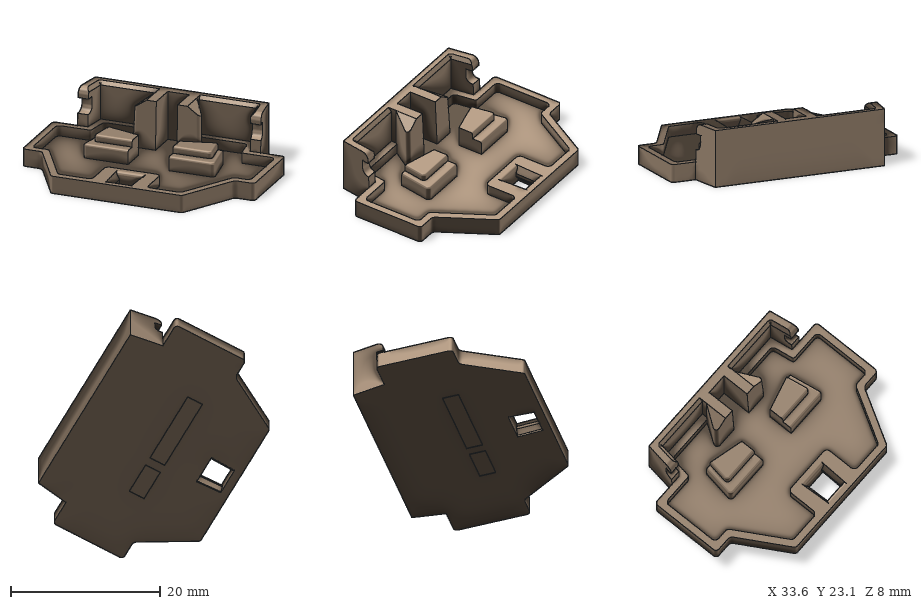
import cadquery as cq
import math

length = 33.6
depth = 23.1
height = 7.9
rim_z = 2.5
floor_z = 1.0
rim_width = 1.0

front_half = 9.48
ear_half = length / 2
ear_front_y = 7.75
ear_rear_y = 18.5
flank_angle = 60.0
shoulder_half = front_half + ear_front_y / math.tan(math.radians(flank_angle))
wall_front_half = 13.27
wall_rear_half = 12.55
ear_radius = 0.5
shoulder_radius = 0.8
pocket_radius = 0.67
pocket_throat_radius = 0.35

cavity_rear_y = 21.85
cavity_rear_half = 11.25
cavity_front_half = 11.75
cavity_chamfer = 0.5

wall_nose_y = 18.68
nose_radius = 1.0
nose_bottom_z = 6.42
notch_rear_y = 19.65
notch_radius = 1.08
notch_bottom_z = 4.2

post_front_y = 17.5
post_front_half = 5.35
post_flank_slope = 0.656
post_draft = 2.5
post_radius = 0.47
web_half = 2.95
web_front_y = 18.8
slot_half = 1.55
ramp_half = 4.87
ramp_drop = 1.3

key_inner_x = 2.95
key_inner_rear_y = 14.95
key_rear_y = 16.25
key_side_slope = 0.164
lower_key_rear_x = 8.77
lower_key_front_y = 11.3
lower_key_z = 3.0
upper_key_rear_x = 8.0
upper_key_front_y = 12.75
upper_key_z = 3.93
key_corner_radius = 0.5
key_edge_radius = 0.3

island_half = 3.95
island_rear_y = 5.98
window_rear_y = 5.17
window_front_y = 0.7
window_rear_half = 2.05
window_front_half = 1.85
throat_rear_half = 1.5
throat_front_half = 1.38
throat_top_z = 1.45
throat_bottom_z = 0.97
window_flare_z = 0.3
window_lip_radius = 0.45

pad_ends = [(-8.33, 1.98), (3.2, 7.63)]
pad_front_y = 9.68
pad_rear_y = 11.93
pad_height = 0.1


def mirrored(half_points):
    """Close an outline from its right half, listed front to rear."""
    return half_points + [(-x, y) for x, y in reversed(half_points)]


def prism(points, bottom_z, top_z, taper=0.0):
    sketch = cq.Workplane("XY").workplane(offset=bottom_z).polyline(points).close()
    return sketch.extrude(top_z - bottom_z, taper=taper)


def block(x_min, x_max, y_min, y_max, z_min, z_max):
    size = (x_max - x_min, y_max - y_min, z_max - z_min)
    return cq.Workplane("XY").box(*size, centered=False).translate((x_min, y_min, z_min))


def round_upright(body, x, y, radius):
    """Round the upright edge nearest (x, y) and its mirror image."""
    for side in (-1, 1):
        near = cq.selectors.NearestToPointSelector((side * x, y, body.val().Center().z))
        body = body.edges("|Z").edges(near).fillet(radius)
    return body


def make_base():
    outline = mirrored([
        (front_half, 0),
        (shoulder_half, ear_front_y),
        (ear_half, ear_front_y),
        (ear_half, ear_rear_y),
        (wall_front_half, ear_rear_y),
        (wall_rear_half, depth),
    ])
    base = prism(outline, 0, rim_z)
    base = round_upright(base, front_half, 0, ear_radius)
    base = round_upright(base, shoulder_half, ear_front_y, shoulder_radius)
    base = round_upright(base, ear_half, ear_front_y, ear_radius)
    return round_upright(base, ear_half, ear_rear_y, ear_radius)


def make_pocket():
    """Tray pocket, set in from the outline by the rim width, less the window island."""
    flank = math.radians(flank_angle)
    flank_shift = rim_width / math.sin(flank) - rim_width / math.tan(flank)
    front_x = front_half - flank_shift
    shoulder_x = shoulder_half - flank_shift
    side_slope = (cavity_front_half - cavity_rear_half) / (cavity_rear_y - ear_rear_y)
    rear_y = cavity_rear_y - rim_width
    throat_y = ear_rear_y - rim_width
    rear_x = cavity_rear_half + rim_width * side_slope - rim_width
    throat_x = rear_x + (rear_y - throat_y) * side_slope
    corners = [
        (island_half, island_rear_y),
        (island_half, rim_width),
        (front_x, rim_width),
        (shoulder_x, ear_front_y + rim_width),
        (ear_half - rim_width, ear_front_y + rim_width),
        (ear_half - rim_width, throat_y),
        (throat_x, throat_y),
        (rear_x, rear_y),
    ]
    pocket = prism(mirrored(corners), floor_z, rim_z)
    for x, y in corners:
        radius = pocket_throat_radius if (x, y) == (throat_x, throat_y) else pocket_radius
        pocket = round_upright(pocket, x, y, radius)
    return pocket


def make_walls():
    """Rear wall with two side walls, open to the front."""
    walls = prism(
        mirrored([(wall_front_half, ear_rear_y), (wall_rear_half, depth)]), rim_z, height
    )
    cavity_outline = mirrored([
        (cavity_front_half, ear_rear_y - cavity_chamfer),
        (cavity_front_half, ear_rear_y),
        (cavity_rear_half, cavity_rear_y),
    ])
    walls = walls.cut(prism(cavity_outline, rim_z, height))
    walls = walls.cut(prism(cavity_outline, height - cavity_chamfer, height, taper=-45))

    nose_center_y = wall_nose_y + nose_radius
    nose_center_z = height - nose_radius
    notch_center_y = notch_rear_y - notch_radius
    notch_center_z = notch_bottom_z + notch_radius
    diagonal = math.sqrt(0.5)
    profile = (
        cq.Workplane("YZ")
        .moveTo(ear_rear_y, rim_z)
        .lineTo(notch_center_y, notch_bottom_z)
        .threePointArc(
            (notch_center_y + notch_radius * diagonal, notch_center_z - notch_radius * diagonal),
            (notch_rear_y, notch_center_z),
        )
        .lineTo(notch_rear_y, nose_bottom_z)
        .lineTo(wall_nose_y, nose_bottom_z)
        .lineTo(wall_nose_y, nose_center_z)
        .threePointArc(
            (nose_center_y - nose_radius * diagonal, nose_center_z + nose_radius * diagonal),
            (nose_center_y, height),
        )
        .lineTo(ear_rear_y, height)
        .close()
        .extrude(ear_half, both=True)
    )
    return walls.cut(profile)


def make_post():
    """Flared post with a leaning front and a ramped top, joined to the rear wall."""
    rear_half = post_front_half - (cavity_rear_y - post_front_y) * post_flank_slope
    flare = prism(
        mirrored([(post_front_half, post_front_y), (rear_half, cavity_rear_y)]), floor_z, height
    )
    lean = (height - floor_z) * math.tan(math.radians(post_draft))
    lean_wedge = (
        cq.Workplane("YZ")
        .polyline([(post_front_y, floor_z), (post_front_y + lean, height), (post_front_y, height)])
        .close()
        .extrude(post_front_half, both=True)
    )
    flare = flare.cut(lean_wedge)
    flare = flare.faces("<Y").edges("not(|X)").fillet(post_radius)
    wall_mid_y = (cavity_rear_y + depth) / 2
    post = flare.union(block(-web_half, web_half, web_front_y, wall_mid_y, floor_z, height))

    ramp_slope = ramp_drop / (ramp_half - web_half)
    for side in (-1, 1):
        ramp = (
            cq.Workplane("XZ")
            .polyline([
                (side * web_half, height),
                (side * ear_half, height),
                (side * ear_half, height - (ear_half - web_half) * ramp_slope),
            ])
            .close()
            .extrude(-depth)
        )
        post = post.cut(ramp)
    return post


def make_key_step(rear_x, front_y, top_z):
    """One step of the right-hand key block, rounded at its outer and front edges."""
    front_x = rear_x + (key_rear_y - front_y) * key_side_slope
    outline = [(key_inner_x, front_y), (front_x, front_y), (rear_x, key_rear_y)]
    if rear_x > upper_key_rear_x:
        outline.append((upper_key_rear_x, key_rear_y))
    outline.append((key_inner_x, key_inner_rear_y))
    step = prism(outline, floor_z, top_z)
    corner = cq.selectors.NearestToPointSelector((front_x, front_y, (floor_z + top_z) / 2))
    step = step.edges("|Z").edges(corner).fillet(key_corner_radius)
    return step.faces(">Z").edges("<Y").fillet(key_edge_radius)


def make_window():
    """Window cutter: sides narrow to a throat and flare out below; the end lips are rounded."""
    def section(front_x, rear_x, z):
        points = mirrored([(front_x, window_front_y), (rear_x, window_rear_y)])
        return cq.Wire.makePolygon([cq.Vector(x, y, z) for x, y in points], close=True)

    sections = [
        section(window_front_half, window_rear_half, 0),
        section(window_front_half, window_rear_half, window_flare_z),
        section(throat_front_half, throat_rear_half, throat_bottom_z),
        section(throat_front_half, throat_rear_half, throat_top_z),
        section(window_front_half, window_rear_half, rim_z),
    ]
    window = cq.Workplane("XY")
    for lower, upper in zip(sections, sections[1:]):
        window = window.union(cq.Workplane(cq.Solid.makeLoft([lower, upper], True)))

    throat_front_y = window_front_y + window_lip_radius
    throat_rear_y = window_rear_y - window_lip_radius
    lip_z = rim_z - window_lip_radius
    ends = (
        cq.Workplane("YZ")
        .moveTo(throat_front_y, 0)
        .lineTo(throat_front_y, lip_z)
        .radiusArc((window_front_y, rim_z), -window_lip_radius)
        .lineTo(window_rear_y, rim_z)
        .radiusArc((throat_rear_y, lip_z), -window_lip_radius)
        .lineTo(throat_rear_y, 0)
        .close()
        .extrude(island_half, both=True)
    )
    return window.intersect(ends)


result = make_base().cut(make_pocket()).union(make_walls()).union(make_post())

result = result.cut(block(-slot_half, slot_half, post_front_y, cavity_rear_y, floor_z, height))

key = make_key_step(lower_key_rear_x, lower_key_front_y, lower_key_z)
key = key.union(make_key_step(upper_key_rear_x, upper_key_front_y, upper_key_z))
result = result.union(key).union(key.mirror("YZ"))

result = result.cut(make_window())

for pad_left, pad_right in pad_ends:
    pad = block(pad_left, pad_right, pad_front_y, pad_rear_y, -pad_height, floor_z)
    result = result.union(pad)